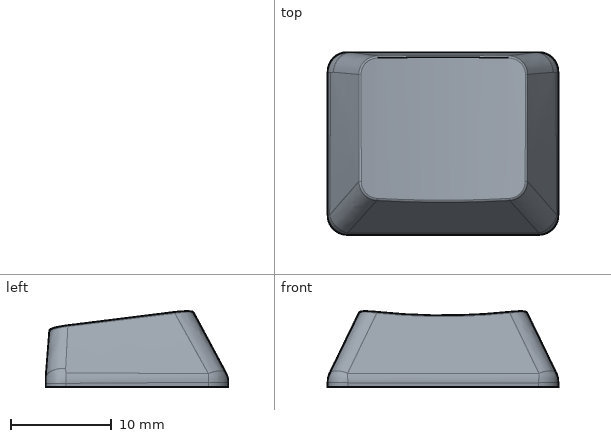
import cadquery as cq
import math

base_width = 22.92
base_depth = 18.15
skirt_height = 0.96
edge_radius = 2.0

top_width = 16.6
top_front_y = -5.45
top_rear_y = 8.69
top_tilt = 7.1
top_middle_height = 6.83
rim_fillet_radius = 0.23

dish_radius = 59.6

top_depth = (top_rear_y - top_front_y) / math.cos(math.radians(top_tilt))
top_middle_y = (top_front_y + top_rear_y) / 2
dish_depth = dish_radius - math.sqrt(dish_radius**2 - (top_width / 2) ** 2)
top_plane = cq.Plane(origin=(0, top_middle_y, top_middle_height)).rotated((-top_tilt, 0, 0))


def make_skirt():
    return cq.Workplane("XY").rect(base_width, base_depth).extrude(skirt_height)


def make_sloping_body():
    lower = cq.Sketch().rect(base_width, base_depth)
    upper = cq.Sketch().rect(top_width, top_depth)
    lower = lower.moved(cq.Location(cq.Vector(0, 0, skirt_height)))
    upper = upper.moved(cq.Location(top_plane))
    return cq.Workplane("XY").placeSketch(lower, upper).loft(ruled=True)


def make_dish_cutter():
    cutter_length = 2 * base_depth
    axis_height = dish_radius - dish_depth
    end_plane = cq.Plane(
        origin=top_plane.toWorldCoords((0, -cutter_length / 2, axis_height)),
        xDir=top_plane.xDir,
        normal=top_plane.yDir,
    )
    return cq.Workplane(end_plane).circle(dish_radius).extrude(cutter_length)


body = make_skirt().union(make_sloping_body())

plain_edges = body.faces(">Z or <Z").edges()
wall_edges = body.edges().filter(lambda edge: edge not in plain_edges.vals())
body = wall_edges.fillet(edge_radius)

body = body.cut(make_dish_cutter())
result = body.faces(">Z").edges().fillet(rim_fillet_radius)